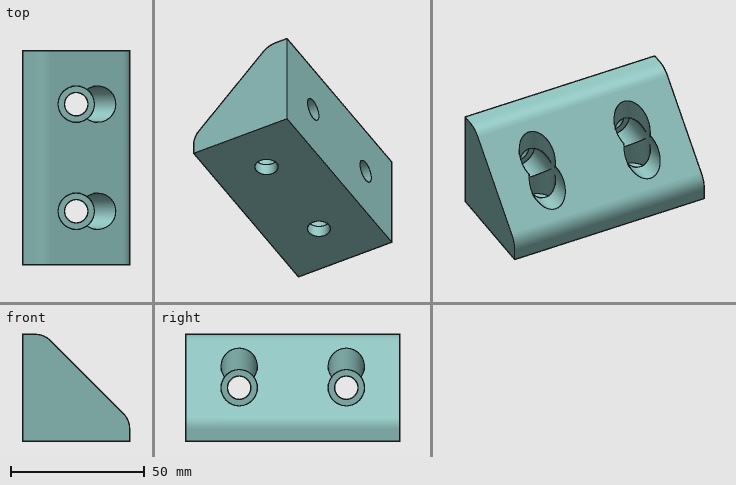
import cadquery as cq

leg = 40.0
length = 80.0
land = 8.0
round_radius = 8.0
hole_spacing = 40.0
hole_diameter = 8.6
counterbore_diameter = 13.5
seat_thickness = 5.0

hole_center = leg / 2


def block():
    """Triangular block with rounded edges along the sloped face."""
    profile = (
        cq.Workplane("XZ")
        .polyline([(0, 0), (leg, 0), (leg, land), (land, leg), (0, leg)])
        .close()
    )
    body = profile.extrude(length / 2, both=True)
    slope_edges = body.faces(">(1, 0, 1)").edges("|Y")
    return slope_edges.fillet(round_radius)


def screw_hole(plane, position):
    """Through hole and counterbore, starting at the plane's origin face."""
    base = cq.Workplane(plane).center(*position)
    through = base.circle(hole_diameter / 2).extrude(leg)
    counterbore = (
        base.workplane(offset=seat_thickness)
        .circle(counterbore_diameter / 2)
        .extrude(leg - seat_thickness)
    )
    return through.union(counterbore)


result = block()
for y in (-hole_spacing / 2, hole_spacing / 2):
    result = result.cut(screw_hole("XY", (hole_center, y)))
    result = result.cut(screw_hole("YZ", (y, hole_center)))